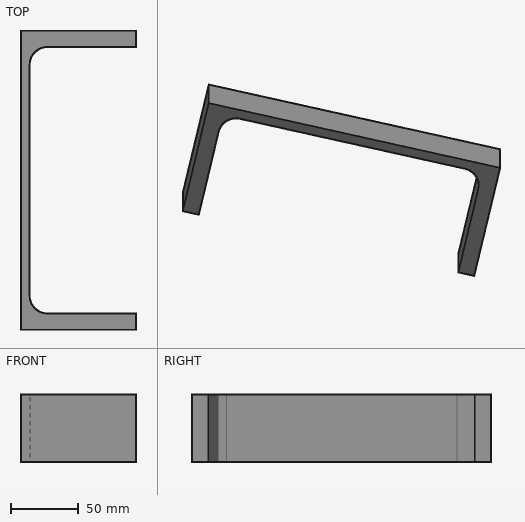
import cadquery as cq

flange_width = 85.0
channel_height = 220.0
length = 50.0
web_thickness = 6.5
flange_thickness = 12.0
root_radius = 13.0

block = cq.Workplane("XY").box(flange_width, channel_height, length, centered=(False, True, True))

opening = (
    cq.Workplane("XY")
    .box(
        flange_width - web_thickness,
        channel_height - 2 * flange_thickness,
        length,
        centered=(False, True, True),
    )
    .translate((web_thickness, 0, 0))
    .edges("|Z and <X")
    .fillet(root_radius)
)

result = block.cut(opening)